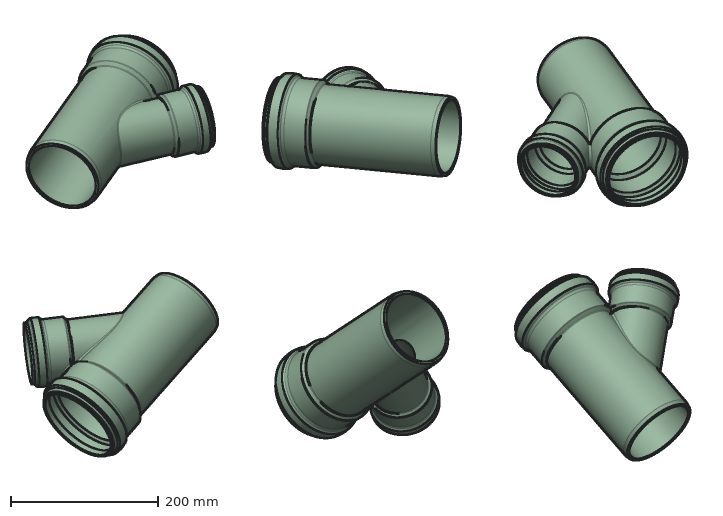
import cadquery as cq
import math


run_length = 246.5
run_outer_radius = 110.2 / 2
run_bore_radius = 99.5 / 2
spigot_tip_radius = 53.7
spigot_chamfer_length = 6.5

branch_angle = 45.0
branch_length = 174.0
branch_crossing = 71.5
branch_outer_radius = 79.0 / 2
branch_bore_radius = 69.3 / 2

junction_fillet = 2.5

shoulder_angle = 45.0

foot_setback = 0.7
rim_setback = 0.5

run_socket = dict(
    outer_radius=120.5 / 2,
    bore_radius=111.0 / 2,
    lip_radius=117.3 / 2,
    lip_length=2.7,
    ramp_radius=123.5 / 2,
    ramp_end=7.1,
    bead_edge_radius=64.5,
    bead_radius=65.3,
    bead_start=9.0,
    bead_end=24.0,
    neck_start=26.9,
    neck_radius=61.6,
    neck_end=31.3,
    shoulder_start=61.6,
)
branch_socket = dict(
    outer_radius=87.8 / 2,
    bore_radius=79.1 / 2,
    lip_radius=42.5,
    lip_length=3.5,
    ramp_radius=45.8,
    ramp_end=6.5,
    bead_edge_radius=47.3,
    bead_radius=95.5 / 2,
    bead_start=8.6,
    bead_end=19.5,
    neck_start=22.5,
    neck_radius=44.9,
    neck_end=25.6,
    shoulder_start=53.0,
)


def axis_plane(origin_y, direction):
    """Plane whose local x is a radius and whose local y runs along the pipe axis."""
    across = cq.Vector(0, 0, 1)
    return cq.Plane(origin=(0, origin_y, 0), xDir=across, normal=across.cross(direction))


def spin(profile):
    return profile.close().revolve(360, (0, 0), (0, 1))


def shoulder_bottom(socket, pipe_radius, mouth):
    """Place along the axis where the 45 degree shoulder runs out on the pipe wall."""
    return mouth - socket["shoulder_start"] - (socket["outer_radius"] - pipe_radius)


def socket_outside(profile, socket, pipe_radius, mouth):
    """Continue a half profile from the pipe wall over the shoulder and bead to the mouth."""
    foot = shoulder_bottom(socket, pipe_radius, mouth)
    rim = mouth - socket["shoulder_start"]
    foot_step = foot_setback * math.cos(math.radians(shoulder_angle))
    rim_step = rim_setback * math.cos(math.radians(shoulder_angle))
    bead_middle = (socket["bead_start"] + socket["bead_end"]) / 2
    return (
        profile.lineTo(pipe_radius, foot - foot_setback)
        .tangentArcPoint((pipe_radius + foot_step, foot + foot_step), relative=False)
        .lineTo(socket["outer_radius"] - rim_step, rim - rim_step)
        .tangentArcPoint((socket["outer_radius"], rim + rim_setback), relative=False)
        .lineTo(socket["outer_radius"], mouth - socket["neck_end"])
        .tangentArcPoint((socket["neck_radius"], mouth - socket["neck_start"]), relative=False)
        .lineTo(socket["bead_edge_radius"], mouth - socket["bead_end"])
        .threePointArc(
            (socket["bead_radius"], mouth - bead_middle),
            (socket["bead_edge_radius"], mouth - socket["bead_start"]),
        )
        .lineTo(socket["ramp_radius"], mouth - socket["ramp_end"])
        .lineTo(socket["lip_radius"], mouth - socket["lip_length"])
        .lineTo(socket["lip_radius"], mouth)
        .lineTo(0, mouth)
    )


def socket_bore(plane, socket, bore_radius, mouth):
    """Stepped bore with a seal groove behind the bead, keeping the socket wall thickness."""
    wall = socket["outer_radius"] - socket["bore_radius"]
    cone_start = socket["shoulder_start"] - wall * math.tan(math.radians(shoulder_angle / 2))
    cone_end = cone_start + socket["bore_radius"] - bore_radius
    groove_radius = socket["bead_edge_radius"] - wall
    groove_depth = groove_radius - socket["bore_radius"]
    profile = (
        cq.Workplane(plane)
        .lineTo(bore_radius, 0)
        .lineTo(bore_radius, mouth - cone_end)
        .lineTo(socket["bore_radius"], mouth - cone_start)
        .lineTo(socket["bore_radius"], mouth - socket["bead_end"] - groove_depth)
        .lineTo(groove_radius, mouth - socket["bead_end"])
        .lineTo(groove_radius, mouth - socket["bead_start"])
        .lineTo(socket["bore_radius"], mouth - socket["bead_start"])
        .lineTo(socket["bore_radius"], mouth)
        .lineTo(0, mouth)
    )
    return spin(profile)


def rod(plane, radius, start, end):
    return spin(cq.Workplane(plane).moveTo(0, start).lineTo(radius, start).lineTo(radius, end).lineTo(0, end))


def blended_crossing(run_radius, branch_radius, run_span, branch_span):
    """Two crossing rods with a filleted seam, trimmed to a stretch of the run and of the branch."""
    run_rod = rod(run_plane, run_radius, -run_length, 2 * run_length)
    branch_rod = rod(branch_plane, branch_radius, 0, run_length)
    crossing = run_rod.union(branch_rod)
    seam = crossing.edges(cq.selectors.TypeSelector("BSPLINE"))
    run_trim = rod(run_plane, run_length, *run_span)
    branch_trim = rod(branch_plane, run_length, *branch_span)
    return seam.fillet(junction_fillet).intersect(run_trim).intersect(branch_trim)


run_plane = axis_plane(0, cq.Vector(0, 1, 0))
lean = math.radians(branch_angle)
branch_plane = axis_plane(branch_crossing, cq.Vector(math.sin(lean), math.cos(lean), 0))

spigot = (
    cq.Workplane(run_plane)
    .lineTo(spigot_tip_radius, 0)
    .lineTo(run_outer_radius, spigot_chamfer_length)
)
run_body = spin(socket_outside(spigot, run_socket, run_outer_radius, run_length))

branch_start = cq.Workplane(branch_plane).lineTo(branch_outer_radius, 0)
branch_body = spin(socket_outside(branch_start, branch_socket, branch_outer_radius, branch_length))

run_barrel_end = run_length - run_socket["neck_end"]
branch_barrel_start = branch_length - branch_socket["shoulder_start"] + rim_setback
branch_barrel_end = branch_length - branch_socket["neck_end"]
run_pipe_end = shoulder_bottom(run_socket, run_outer_radius, run_length)
branch_pipe_end = shoulder_bottom(branch_socket, branch_outer_radius, branch_length)

pipe_junction = blended_crossing(
    run_outer_radius,
    branch_outer_radius,
    (spigot_chamfer_length, run_pipe_end),
    (0, branch_pipe_end),
)
barrel_junction = blended_crossing(
    run_socket["outer_radius"],
    branch_socket["outer_radius"],
    (run_pipe_end, run_barrel_end),
    (branch_barrel_start, branch_barrel_end),
)
body = run_body.union(branch_body).union(pipe_junction).union(barrel_junction)

run_bore = socket_bore(run_plane, run_socket, run_bore_radius, run_length)
branch_bore = socket_bore(branch_plane, branch_socket, branch_bore_radius, branch_length)
result = body.cut(run_bore).cut(branch_bore)